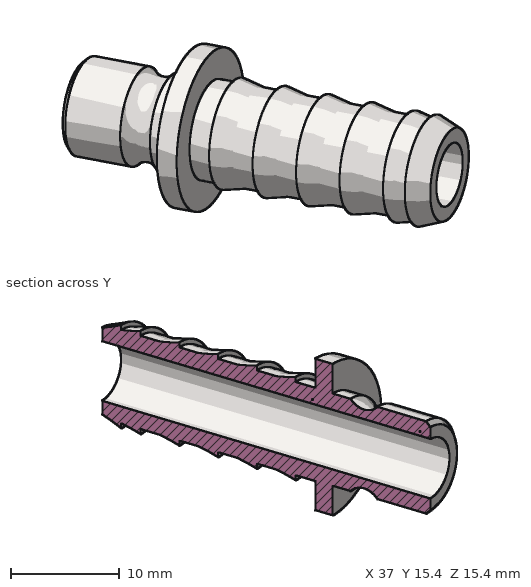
import cadquery as cq

total_length = 37.0
bore_diameter = 6.0

plug_radius = 9.4 / 2
plug_chamfer = 0.48
groove_start = 6.0
groove_end = 9.0
groove_floor_radius = 8.03 / 2

flange_start = 11.0
flange_end = 13.0
flange_radius = 15.4 / 2

barb_count = 5
tail_radius = 9.5 / 2
barb_radius = 10.5 / 2
tip_radius = 8.8 / 2
stretch_count = 2 * barb_count + 1
stretch_length = (total_length - flange_end) / stretch_count


def cone_ring(start, length, start_radius, end_radius):
    """Solid truncated cone along X."""
    return (
        cq.Workplane("XY")
        .moveTo(start, 0)
        .lineTo(start, start_radius)
        .lineTo(start + length, end_radius)
        .lineTo(start + length, 0)
        .close()
        .revolve(360, (0, 0, 0), (1, 0, 0))
    )


def plug():
    """Chamfered cylinder with a round-bottomed locking groove, up to the flange."""
    groove_middle = (groove_start + groove_end) / 2
    return (
        cq.Workplane("XY")
        .moveTo(0, 0)
        .lineTo(0, plug_radius - plug_chamfer)
        .lineTo(plug_chamfer, plug_radius)
        .lineTo(groove_start, plug_radius)
        .threePointArc((groove_middle, groove_floor_radius), (groove_end, plug_radius))
        .lineTo(flange_start, plug_radius)
        .lineTo(flange_start, 0)
        .close()
        .revolve(360, (0, 0, 0), (1, 0, 0))
    )


def flange():
    """Plain round collar."""
    return cone_ring(flange_start, flange_end - flange_start, flange_radius, flange_radius)


def hose_tail():
    """Tube with sawtooth barbs that taper down to it, and a steeper tip at the end."""
    tip_start = total_length - stretch_length
    tail = cone_ring(flange_end, tip_start - flange_end, tail_radius, tail_radius)
    for index in range(barb_count):
        barb_start = flange_end + (2 * index + 1) * stretch_length
        tail = tail.union(cone_ring(barb_start, stretch_length, barb_radius, tail_radius))
    return tail.union(cone_ring(tip_start, stretch_length, barb_radius, tip_radius))


bore = cq.Workplane("YZ").circle(bore_diameter / 2).extrude(total_length)

result = plug().union(flange()).union(hose_tail()).cut(bore)